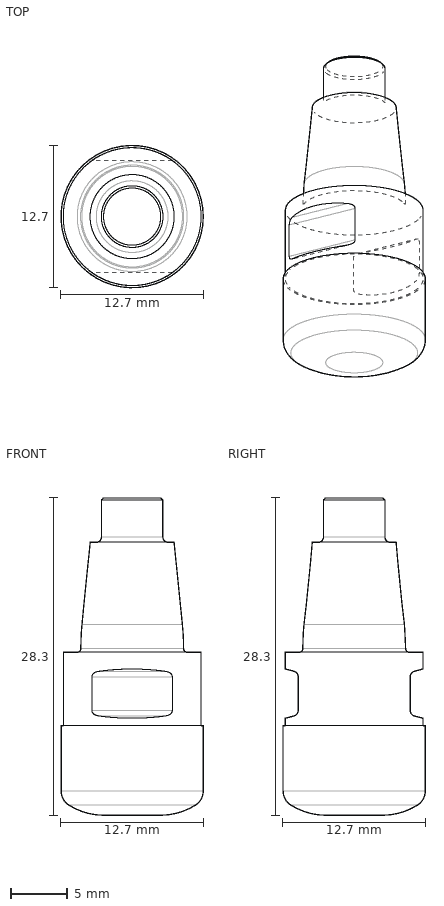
import cadquery as cq
import math

cap_diameter = 12.7
cap_height = 8.0
cap_flat_diameter = 5.1
cap_dome_radius = 5.75
cap_corner_radius = 1.5

collar_diameter = 12.3
collar_top = 14.55
neck_base_diameter = 9.2
neck_base_fillet = 0.3
taper_start = 17.0
taper_start_diameter = 8.98
neck_top = 24.35
neck_top_diameter = 7.5
pin_diameter = 5.5
pin_fillet = 0.45
pin_chamfer = 0.2
overall_height = 28.3

across_flats = 10.0
flat_height = 3.0
flat_center_z = 10.85
flat_corner_radius = 0.5
flat_wall_slope = math.radians(15)


def revolve_profile(profile):
    """Revolve a closed profile, drawn as (radius, z), about the Z axis."""
    return profile.close().revolve(360, (0, 0, 0), (0, 1, 0))


def point_on_arc(center_r, center_z, radius, angle):
    """Point at an angle measured from the +radius direction toward +Z."""
    return (center_r + radius * math.cos(angle), center_z + radius * math.sin(angle))


def make_cap():
    """Cylinder whose lower end is a tangent corner, a dome and a small flat."""
    cap_radius = cap_diameter / 2
    flat_radius = cap_flat_diameter / 2

    corner_r = cap_radius - cap_corner_radius
    center_distance = cap_dome_radius - cap_corner_radius
    center_offset = corner_r - flat_radius
    corner_z = cap_dome_radius - math.sqrt(center_distance**2 - center_offset**2)

    down = -math.pi / 2
    joint_angle = -math.acos(center_offset / center_distance)
    dome_middle = point_on_arc(flat_radius, cap_dome_radius, cap_dome_radius, (down + joint_angle) / 2)
    joint = point_on_arc(flat_radius, cap_dome_radius, cap_dome_radius, joint_angle)
    corner_middle = point_on_arc(corner_r, corner_z, cap_corner_radius, joint_angle / 2)

    profile = (
        cq.Workplane("XZ")
        .moveTo(0, 0)
        .lineTo(flat_radius, 0)
        .threePointArc(dome_middle, joint)
        .threePointArc(corner_middle, (cap_radius, corner_z))
        .lineTo(cap_radius, cap_height)
        .lineTo(0, cap_height)
    )
    return revolve_profile(profile)


def make_turned_body():
    """Collar, neck with curved base and straight taper, and chamfered pin."""
    collar_radius = collar_diameter / 2
    neck_base_radius = neck_base_diameter / 2
    taper_start_radius = taper_start_diameter / 2
    neck_top_radius = neck_top_diameter / 2
    pin_radius = pin_diameter / 2

    profile = (
        cq.Workplane("XZ")
        .moveTo(0, cap_height)
        .lineTo(collar_radius, cap_height)
        .lineTo(collar_radius, collar_top)
        .lineTo(neck_base_radius + neck_base_fillet, collar_top)
        .radiusArc((neck_base_radius, collar_top + neck_base_fillet), neck_base_fillet)
        .tangentArcPoint((taper_start_radius, taper_start), relative=False)
        .lineTo(neck_top_radius, neck_top)
        .lineTo(pin_radius + pin_fillet, neck_top)
        .radiusArc((pin_radius, neck_top + pin_fillet), pin_fillet)
        .lineTo(pin_radius, overall_height - pin_chamfer)
        .lineTo(pin_radius - pin_chamfer, overall_height)
        .lineTo(0, overall_height)
    )
    return revolve_profile(profile)


def make_flat_cutter():
    """Prism along X that cuts the +Y wrench flat, with rounded corners and flared walls."""
    floor_y = across_flats / 2
    outer_y = cap_diameter / 2
    half_floor = flat_height / 2
    corner_y = floor_y + flat_corner_radius

    turn = math.pi / 2 - flat_wall_slope
    arc_end = (
        corner_y - flat_corner_radius * math.cos(turn),
        half_floor + flat_corner_radius * math.sin(turn),
    )
    arc_middle = (
        corner_y - flat_corner_radius * math.cos(turn / 2),
        half_floor + flat_corner_radius * math.sin(turn / 2),
    )
    mouth_half = arc_end[1] + (outer_y - arc_end[0]) * math.tan(flat_wall_slope)

    return (
        cq.Workplane("YZ", origin=(0, 0, flat_center_z))
        .moveTo(floor_y, -half_floor)
        .lineTo(floor_y, half_floor)
        .threePointArc(arc_middle, arc_end)
        .lineTo(outer_y, mouth_half)
        .lineTo(outer_y, -mouth_half)
        .lineTo(arc_end[0], -arc_end[1])
        .threePointArc((arc_middle[0], -arc_middle[1]), (floor_y, -half_floor))
        .close()
        .extrude(collar_diameter / 2, both=True)
    )


def make_body():
    """Turned body with a wrench flat cut on each of two opposite sides."""
    body = make_turned_body()
    cutter = make_flat_cutter()
    for side_angle in (0, 180):
        body = body.cut(cutter.rotate((0, 0, 0), (0, 0, 1), side_angle))
    return body


cap = make_cap()
body = make_body()

result = cq.Compound.makeCompound([cap.val(), body.val()])